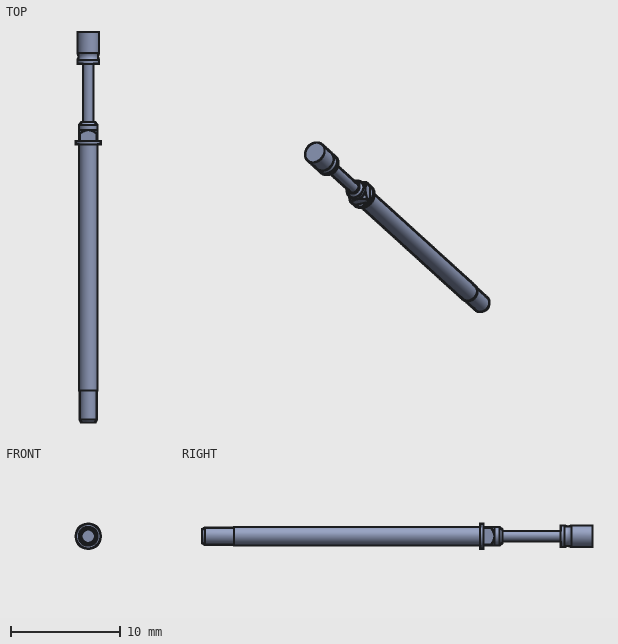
import cadquery as cq

head_diameter = 2.0
plunger_diameter = 1.0
barrel_diameter = 1.7
end_cap_diameter = 1.6
flange_diameter = 2.3

overall_length = 35.8
head_cap_length = 1.95
groove_width = 0.65
groove_depth = 0.1
head_length = 2.95
plunger_length = 5.3
nose_length = 1.75
flange_thickness = 0.3
end_cap_length = 2.95

nose_tip_diameter = 1.2
nose_taper_length = 0.3
nose_cylinder_length = 0.45
collar_taper_length = 0.3
square_width = barrel_diameter
end_chamfer_radial = 0.18
end_chamfer_axial = 0.3

flange_front_y = 0.0
flange_back_y = flange_front_y - flange_thickness
nose_tip_y = flange_front_y + nose_length
head_back_y = nose_tip_y + plunger_length
contact_face_y = head_back_y + head_length
rear_end_y = contact_face_y - overall_length
end_cap_y = rear_end_y + end_cap_length
nose_shoulder_y = nose_tip_y - nose_taper_length
collar_front_y = nose_shoulder_y - nose_cylinder_length
groove_front_y = contact_face_y - head_cap_length
groove_back_y = groove_front_y - groove_width


def revolve_about_y(profile):
    """Close a half profile, drawn as (radius, y), and turn it about the Y axis."""
    return profile.close().revolve(360, (0, 0, 0), (0, 1, 0))


def cylinder(diameter, front_y, back_y):
    """A plain cylinder on the Y axis between two stations."""
    radius = diameter / 2
    return revolve_about_y(
        cq.Workplane("XY")
        .moveTo(0, front_y)
        .lineTo(radius, front_y)
        .lineTo(radius, back_y)
        .lineTo(0, back_y)
    )


def contact_head():
    """Flat-faced head with a shallow round groove near its back."""
    radius = head_diameter / 2
    groove_middle = (radius - groove_depth, (groove_front_y + groove_back_y) / 2)
    return revolve_about_y(
        cq.Workplane("XY")
        .moveTo(0, contact_face_y)
        .lineTo(radius, contact_face_y)
        .lineTo(radius, groove_front_y)
        .threePointArc(groove_middle, (radius, groove_back_y))
        .lineTo(radius, head_back_y)
        .lineTo(0, head_back_y)
    )


def nose():
    """Tapered nose of the barrel, in front of the square collar."""
    barrel_radius = barrel_diameter / 2
    return revolve_about_y(
        cq.Workplane("XY")
        .moveTo(0, nose_tip_y)
        .lineTo(nose_tip_diameter / 2, nose_tip_y)
        .lineTo(barrel_radius, nose_shoulder_y)
        .lineTo(barrel_radius, flange_front_y)
        .lineTo(0, flange_front_y)
    )


def square_collar():
    """Square collar whose corners are trimmed by a cone in front and by the flange diameter."""
    barrel_radius = barrel_diameter / 2
    flange_radius = flange_diameter / 2
    envelope = revolve_about_y(
        cq.Workplane("XY")
        .moveTo(0, collar_front_y)
        .lineTo(barrel_radius, collar_front_y)
        .lineTo(flange_radius, collar_front_y - collar_taper_length)
        .lineTo(flange_radius, flange_front_y)
        .lineTo(0, flange_front_y)
    )
    square_bar = cq.Workplane("XY").box(
        square_width, collar_front_y - flange_front_y, square_width, centered=(True, False, True)
    )
    return square_bar.translate((0, flange_front_y, 0)).intersect(envelope)


def end_cap():
    """Rear end of the probe, slightly thinner than the barrel, with a chamfered rim."""
    radius = end_cap_diameter / 2
    return revolve_about_y(
        cq.Workplane("XY")
        .moveTo(0, end_cap_y)
        .lineTo(radius, end_cap_y)
        .lineTo(radius, rear_end_y + end_chamfer_axial)
        .lineTo(radius - end_chamfer_radial, rear_end_y)
        .lineTo(0, rear_end_y)
    )


plunger = cylinder(plunger_diameter, head_back_y, nose_tip_y)
flange = cylinder(flange_diameter, flange_front_y, flange_back_y)
barrel = cylinder(barrel_diameter, flange_back_y, end_cap_y)

result = (
    contact_head()
    .union(plunger)
    .union(nose())
    .union(square_collar())
    .union(flange)
    .union(barrel)
    .union(end_cap())
)